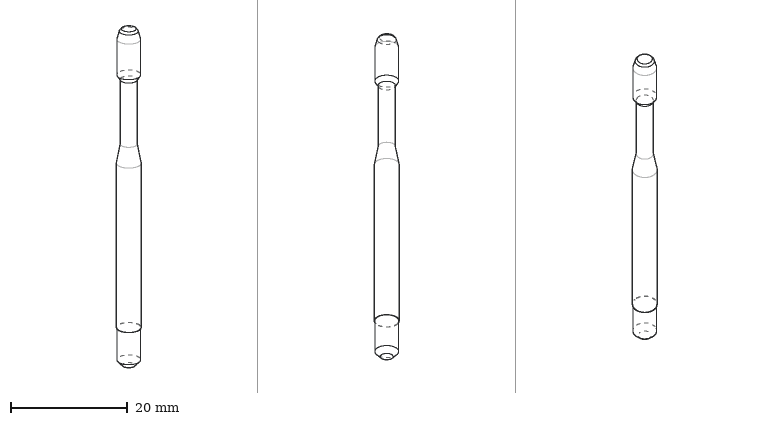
import cadquery as cq

body_diameter = 4.3
head_diameter = 4.1
tail_diameter = head_diameter
neck_diameter = 2.95
nose_shoulder_diameter = 3.3
nose_tip_diameter = 2.6
tail_end_diameter = 2.2

overall_length = 63.1
tail_chamfer_length = 1.0
tail_length = 7.05
body_length = 30.85
body_taper_length = 3.6
head_length = 9.5
head_back_taper_length = 0.9
nose_taper_length = 1.95
tip_chamfer_length = 0.45

bottom = -overall_length / 2
top = overall_length / 2
body_bottom = bottom + tail_length
body_top = body_bottom + body_length
neck_bottom = body_top + body_taper_length
head_bottom = top - head_length

stations = [
    (tail_end_diameter, bottom),
    (tail_diameter, bottom + tail_chamfer_length),
    (tail_diameter, body_bottom),
    (body_diameter, body_bottom),
    (body_diameter, body_top),
    (neck_diameter, neck_bottom),
    (neck_diameter, head_bottom),
    (head_diameter, head_bottom + head_back_taper_length),
    (head_diameter, top - nose_taper_length),
    (nose_shoulder_diameter, top - tip_chamfer_length),
    (nose_tip_diameter, top),
]

half_profile = [(0, bottom)]
half_profile += [(diameter / 2, height) for diameter, height in stations]
half_profile += [(0, top)]

result = cq.Workplane("XZ").polyline(half_profile).close().revolve(360, (0, 0, 0), (0, 1, 0))